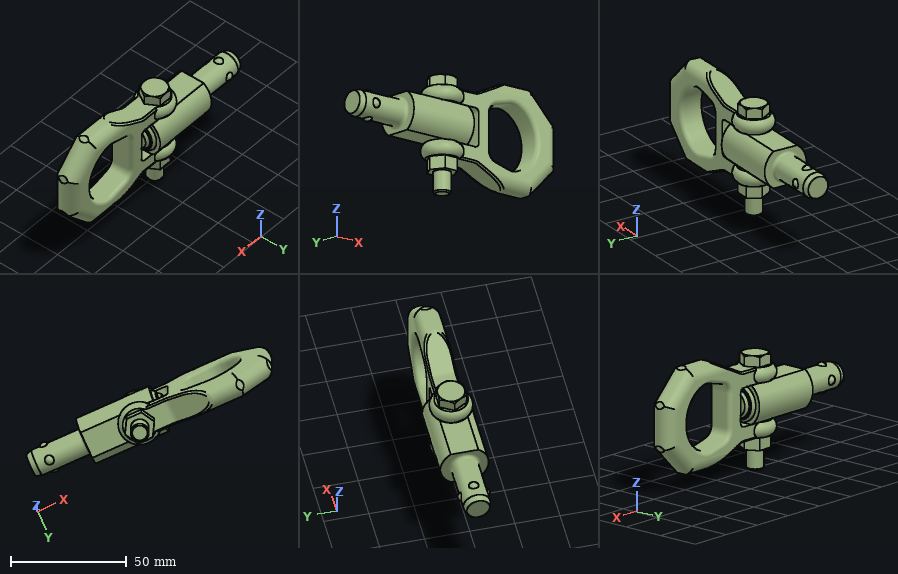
import cadquery as cq
import math


shank_radius = 6.0
shank_tip_x = -51.5
tip_radius = 5.1
tip_taper_length = 2.8
barrel_start_x = -25.4
barrel_end_x = 9.1
barrel_diameter = 21.5
barrel_across_flats = 17.6
barrel_radius = barrel_diameter / 2
barrel_flat_z = barrel_across_flats / 2
root_fillet = 1.5
flange_radius = 8.6
flange_end_radius = 7.4
flange_rim_radius = 2.3
flange_length = 1.5
button_radius = 6.6
button_end_radius = 5.5
button_rim_length = 0.6
button_length = 2.0
ball_radius = 2.3
ball_offset = 4.9
ball_x = -42.8
ball_count = 4

bolt_radius = 4.0
bolt_end_z = -31.3
bolt_end_chamfer = 0.7
hex_across_flats = 12.0
hex_across_corners = hex_across_flats / math.cos(math.pi / 6)
head_height = 5.0
head_chamfer_angle = math.radians(35)
nut_height = 5.9

thickness = 12.0
half_thickness = thickness / 2
arm_outer_z = 15.8
boss_face_radius = 7.4
boss_rim_radius = 9.4
ring_center_x = 37.6
ring_apothem = 24.4
ring_corner_cut = 0.7
ring_turn = 45.0
flare_start_x = 14.8
flare_angle = math.radians(25)
flare_bend_radius = 5.5
edge_chamfer = 0.8
slot_end_x = 15.9
slot_corner_radius = 2.3
eye_center_x = 34.3
eye_radius = 15.3
eye_left_x = 22.7
eye_left_half_height = 11.8
eye_side_angle = math.radians(14.4)
eye_left_corner_radius = 4.8
eye_side_blend_radius = 9.6
eye_rim_fillet = 2.2
reach = 113.5
pick_margin = 1.1


def y_prism(sketch):
    """Extrude an XZ outline symmetrically through the whole thickness along Y."""
    return sketch.extrude(half_thickness, both=True)


def make_pin():
    """Spring-ball locking pin with a flatted barrel, release button and cross hole for the bolt."""
    root_start_x = barrel_start_x - root_fillet
    flange_end_x = barrel_end_x + flange_length
    shank_and_barrel = (
        cq.Workplane("XY")
        .moveTo(shank_tip_x, 0)
        .lineTo(shank_tip_x, tip_radius)
        .lineTo(shank_tip_x + tip_taper_length, shank_radius)
        .lineTo(root_start_x, shank_radius)
        .radiusArc((barrel_start_x, shank_radius + root_fillet), -root_fillet)
        .lineTo(barrel_start_x, barrel_radius)
        .lineTo(barrel_end_x, barrel_radius)
        .lineTo(barrel_end_x, 0)
        .close()
        .revolve(360, (0, 0, 0), (1, 0, 0))
    )
    flats = cq.Workplane("XY").box(2 * reach, 2 * barrel_radius, 2 * barrel_flat_z)
    release_button = (
        cq.Workplane("XY")
        .moveTo(barrel_end_x, 0)
        .lineTo(barrel_end_x, flange_radius)
        .radiusArc((flange_end_x, flange_end_radius), flange_rim_radius)
        .lineTo(flange_end_x, button_radius)
        .lineTo(flange_end_x + button_rim_length, button_radius)
        .lineTo(flange_end_x + button_length, button_end_radius)
        .lineTo(flange_end_x + button_length, 0)
        .close()
        .revolve(360, (0, 0, 0), (1, 0, 0))
    )
    pin = shank_and_barrel.intersect(flats).union(release_button)
    for index in range(ball_count):
        ball = cq.Workplane("XY").sphere(ball_radius).translate((ball_x, 0, ball_offset))
        pin = pin.union(ball.rotate((0, 0, 0), (1, 0, 0), index * 360 / ball_count))
    bolt_hole = cq.Workplane("XY").circle(bolt_radius).extrude(2 * barrel_radius, both=True)
    return pin.cut(bolt_hole)


def ring_side(angle):
    """Block with one fully rounded edge, whose crest is a side of the octagonal ring."""
    return (
        cq.Workplane("XY")
        .moveTo(-reach, -half_thickness)
        .lineTo(ring_apothem - half_thickness, -half_thickness)
        .threePointArc((ring_apothem, 0), (ring_apothem - half_thickness, half_thickness))
        .lineTo(-reach, half_thickness)
        .close()
        .extrude(reach, both=True)
        .rotate((0, 0, 0), (0, 1, 0), angle)
        .translate((ring_center_x, 0, 0))
    )


def ring_corner(angle):
    """Block whose end face trims off one corner of the octagonal ring."""
    corner_distance = ring_apothem / math.cos(math.radians(ring_turn / 2)) - ring_corner_cut
    return (
        cq.Workplane("XY")
        .box(2 * reach, thickness, 2 * reach)
        .translate((corner_distance - reach, 0, 0))
        .rotate((0, 0, 0), (0, 1, 0), angle)
        .translate((ring_center_x, 0, 0))
    )


def make_yoke_blank():
    """Arms flaring into the rounded octagonal ring, without any openings."""
    flare_end_z = ring_apothem + thickness
    flare_end_x = flare_start_x + (flare_end_z - arm_outer_z) / math.tan(flare_angle)
    outline = y_prism(
        cq.Workplane("XZ").polyline([
            (0, -arm_outer_z),
            (flare_start_x, -arm_outer_z),
            (flare_end_x, -flare_end_z),
            (reach, -flare_end_z),
            (reach, flare_end_z),
            (flare_end_x, flare_end_z),
            (flare_start_x, arm_outer_z),
            (0, arm_outer_z),
        ]).close()
    )
    bend = cq.selectors.BoxSelector(
        (flare_start_x - pick_margin, -thickness, -flare_end_z),
        (flare_start_x + pick_margin, thickness, flare_end_z),
    )
    blank = outline.edges("|Y").edges(bend).fillet(flare_bend_radius)
    for step in (-2, -1, 0, 1, 2):
        blank = blank.intersect(ring_side(step * ring_turn))
    for step in (-1.5, -0.5, 0.5, 1.5):
        blank = blank.intersect(ring_corner(step * ring_turn))
    for side in (-1, 1):
        neck_faces = cq.selectors.BoxSelector(
            (0, -pick_margin, side * (arm_outer_z - pick_margin)),
            (eye_center_x, pick_margin, side * ring_apothem),
        )
        blank = blank.faces(neck_faces).edges("not |Y").chamfer(edge_chamfer)
    return blank


def make_eye():
    """Eye opening: a disc joined to a narrowing mouth with rounded corners."""
    side_slope = math.tan(eye_side_angle)
    eye_right_x = eye_center_x + eye_radius
    eye_right_half_height = eye_left_half_height + side_slope * (eye_right_x - eye_left_x)
    wedge = y_prism(
        cq.Workplane("XZ").polyline([
            (eye_left_x, -eye_left_half_height),
            (eye_right_x, -eye_right_half_height),
            (eye_right_x, eye_right_half_height),
            (eye_left_x, eye_left_half_height),
        ]).close()
    )
    disc = y_prism(cq.Workplane("XZ").center(eye_center_x, 0).circle(eye_radius))
    mouth_width = eye_center_x - eye_left_x
    mouth = cq.Workplane("XY").box(mouth_width, thickness, 2 * eye_radius)
    mouth = mouth.translate((eye_center_x - mouth_width / 2, 0, 0))
    eye = wedge.intersect(disc.union(mouth))
    blend_corners = cq.selectors.BoxSelector(
        (eye_center_x, -pick_margin, -eye_radius),
        (eye_center_x + eye_radius / 2, pick_margin, eye_radius),
    )
    eye = eye.edges(blend_corners).edges("|Y").fillet(eye_side_blend_radius)
    return eye.faces("<X").edges("|Y").fillet(eye_left_corner_radius)


def make_yoke():
    """Yoke with the barrel slot and the eye cut out and the rims of the eye rounded."""
    slot = cq.Workplane("XY").box(2 * slot_end_x, thickness, 2 * barrel_flat_z)
    slot = slot.edges("|Y and >X").fillet(slot_corner_radius)
    yoke = make_yoke_blank().cut(slot).cut(make_eye())
    eye_walls = cq.selectors.BoxSelector(
        (eye_left_x - pick_margin, -pick_margin, -eye_radius),
        (eye_center_x + eye_radius + pick_margin, pick_margin, eye_radius),
    )
    return yoke.faces(eye_walls).edges("not |Y").fillet(eye_rim_fillet)


def make_boss():
    """Round boss with a bulging rim, at the upper arm."""
    boss_middle_z = (barrel_flat_z + arm_outer_z) / 2
    return (
        cq.Workplane("XZ")
        .moveTo(0, barrel_flat_z)
        .lineTo(boss_face_radius, barrel_flat_z)
        .threePointArc((boss_rim_radius, boss_middle_z), (boss_face_radius, arm_outer_z))
        .lineTo(0, arm_outer_z)
        .close()
        .revolve(360, (0, 0, 0), (0, 1, 0))
    )


def make_bolt():
    """Hexagon bolt with its nut, along Z through both arms."""
    shank = cq.Workplane("XY").workplane(offset=bolt_end_z).circle(bolt_radius)
    shank = shank.extrude(arm_outer_z - bolt_end_z).faces("<Z").chamfer(bolt_end_chamfer)
    head_top_z = arm_outer_z + head_height
    head = cq.Workplane("XY").workplane(offset=arm_outer_z)
    head = head.polygon(6, hex_across_corners).extrude(head_height)
    chamfer_run = hex_across_corners / 2
    cone_height = chamfer_run * math.tan(head_chamfer_angle)
    chamfer_cone = (
        cq.Workplane("XZ")
        .moveTo(0, 0)
        .lineTo(hex_across_flats / 2 + chamfer_run, 0)
        .lineTo(hex_across_flats / 2 + chamfer_run, head_top_z - cone_height)
        .lineTo(hex_across_flats / 2, head_top_z)
        .lineTo(0, head_top_z)
        .close()
        .revolve(360, (0, 0, 0), (0, 1, 0))
    )
    nut = cq.Workplane("XY").workplane(offset=-arm_outer_z)
    nut = nut.polygon(6, hex_across_corners).extrude(-nut_height)
    return shank.union(head.intersect(chamfer_cone)).union(nut)


def make_shackle():
    """Yoke, bosses and clamping bolt as one body; the barrel turns on the bolt."""
    boss = make_boss()
    return make_yoke().union(boss).union(boss.mirror("XY")).union(make_bolt())


pin = make_pin()
shackle = make_shackle()
result = cq.Compound.makeCompound([pin.solids().val(), shackle.solids().val()])